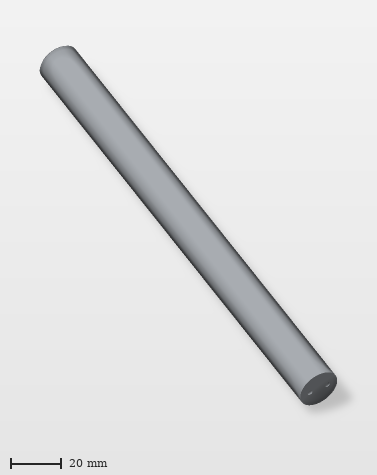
import cadquery as cq
import math

length = 200.0
rod_diameter = 17.0
chamfer_size = 0.8

channel_diameter = 2.2
channel_circle_radius = 4.0
channel_start_angle = 58.0
helix_angle = 30.0
channel_count = 2

twist_pitch = math.pi * rod_diameter / math.tan(math.radians(helix_angle))
total_twist = 360.0 * length / twist_pitch


def make_rod():
    """Solid rod from X = 0 to X = length, chamfered at the -X end."""
    rod = cq.Workplane("YZ").circle(rod_diameter / 2).extrude(length)
    return rod.faces("<X").chamfer(chamfer_size)


def make_channel(angle):
    """Twisted round channel that runs the whole length of the rod."""
    y = -channel_circle_radius * math.cos(math.radians(angle))
    z = channel_circle_radius * math.sin(math.radians(angle))
    profile = cq.Workplane("YZ").pushPoints([(y, z)]).circle(channel_diameter / 2)
    return profile.twistExtrude(length, total_twist)


result = make_rod()
for index in range(channel_count):
    result = result.cut(make_channel(channel_start_angle + index * 360.0 / channel_count))